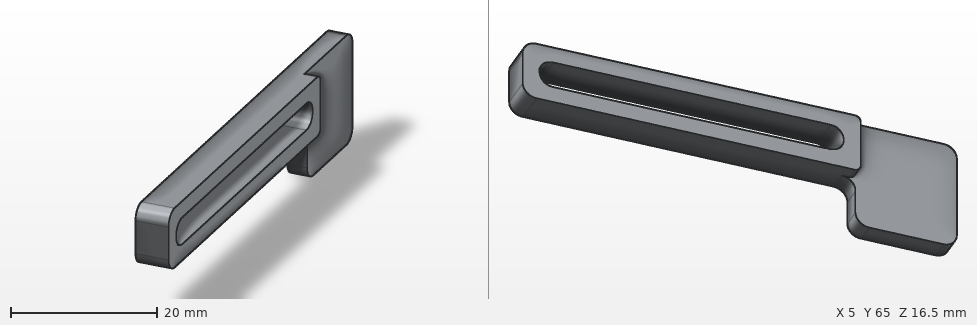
import cadquery as cq

length = 65.0
height = 16.5
thickness = 5.0
tab_thickness = 3.0
tab_length = 15.0
bar_height = 9.0
corner_radius = 2.0
step_radius = 1.0
slot_length = 45.0
slot_width = 4.0
slot_end_margin = 2.5

x_outer = -thickness / 2
y_free = -length / 2
y_tab = length / 2
y_step = y_tab - tab_length
z_top = height / 2
z_bottom = -height / 2
z_bar_bottom = z_top - bar_height
z_bar_middle = z_top - bar_height / 2
bar_length = length - tab_length


def box(depth, y_min, y_size, z_min, z_size):
    """Block standing on the flat -X face of the part."""
    block = cq.Workplane("XY").box(depth, y_size, z_size, centered=False)
    return block.translate((x_outer, y_min, z_min))


def thin_plate():
    """L-shaped plate: the tab and the full length of the arm, all corners rounded."""
    arm = box(tab_thickness, y_free, length, z_bar_bottom, bar_height)
    tab = box(tab_thickness, y_step, tab_length, z_bottom, height)
    return arm.union(tab).clean().edges("|X").fillet(corner_radius)


def thick_bar():
    """Full-thickness bar, ending in a step at the tab."""
    bar = box(thickness, y_free, bar_length, z_bar_bottom, bar_height)
    bar = bar.edges("|X and <Y").fillet(corner_radius)
    return bar.edges("|X and >Y").fillet(step_radius)


def slot():
    """Round-ended slot through the bar, centred on the bar height."""
    y_middle = y_free + slot_end_margin + slot_length / 2
    return (
        cq.Workplane("YZ", origin=(x_outer, y_middle, z_bar_middle))
        .slot2D(slot_length, slot_width)
        .extrude(thickness)
    )


result = thin_plate().union(thick_bar()).cut(slot())